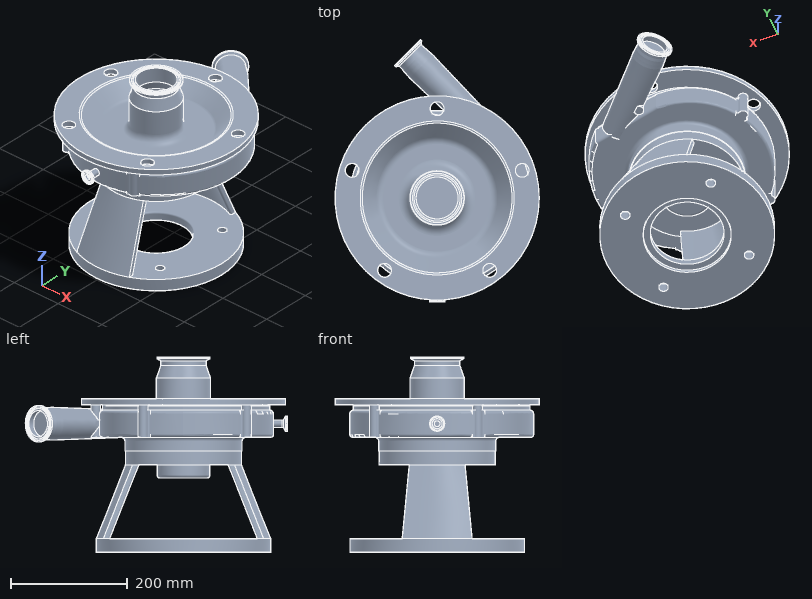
import cadquery as cq
import math


BASE_RADIUS = 150.0
BASE_THICKNESS = 23.5
BASE_BORE_RADIUS = 63.5
BASE_BORE_ROUNDING = 4.0
BASE_RECESS_RADIUS = 75.5
BASE_RECESS_DEPTH = 6.7
BASE_BOLT_COUNT = 4
BASE_BOLT_FIRST_ANGLE = 45
BASE_BOLT_CIRCLE_RADIUS = 113.5
BASE_BOLT_RADIUS = 8.0

COLLAR_RADIUS = 99.5
COLLAR_BOTTOM = 150.0
LEG_THICKNESS = 11.5
LEG_FOOT_HALF_WIDTH = 60.0
LEG_TOP_HALF_WIDTH = 48.0
LEG_EDGE_ROUNDING = 3.0

HUB_RADIUS = 45.5
HUB_BOTTOM = 127.0
HUB_ROUNDING = 5.5

NECK_RADIUS = 100.5
NECK_BOTTOM = 173.5
NECK_FILLET = 6.7
CASING_BOTTOM = 197.0
CASING_TOP = 243.5
CASING_MIDDLE = (CASING_BOTTOM + CASING_TOP) / 2
CASING_TOP_FILLET = 6.7
CASING_BOTTOM_FILLET = 5.0
VOLUTE_START_RADIUS = 143.5
VOLUTE_REACH = 150.0
VOLUTE_MIDDLE_RADIUS = 154.5
VOLUTE_END_RADIUS = 161.0
SEAT_INSET = 6.5
SEAT_TOP = 251.0
GASKET_RADIUS = 139

BOSS_COUNT = 5
BOSS_FIRST_ANGLE = 9
BOSS_CIRCLE_RADIUS = 152.0
BOSS_RADIUS = 8.5
WALL_BOSS_START = 2
BOSS_ROOT_FILLET = 3.5
BOSS_ROOT_RADIUS = 12.5

FLANGE_RADIUS = 175
FLANGE_BOTTOM = 252.5
FLANGE_TOP = 263.5
FLANGE_HOLE_COUNT = 5
FLANGE_HOLE_FIRST_ANGLE = 90
FLANGE_HOLE_CIRCLE_RADIUS = 153.0
FLANGE_HOLE_RADIUS = 11.5
DISH_RADIUS = 128.5
DISH_RIM_WIDTH = 3.5
DISH_RIM_DEPTH = 1.5
DISH_FLOOR = 232.0
DISH_FLOOR_FILLET = 19.0
DISH_CORNER_FILLET = 15.5
DISH_WALL_FOOT_RADIUS = 98.7

INLET_TOP = 334.5
INLET_RADIUS = 46.5
INLET_CONE_BOTTOM = 298.5
INLET_CONE_TOP = 320.5
INLET_MOUTH_RADIUS = 39.0
INLET_RIM_RADIUS = 45.8
INLET_RIM_THICKNESS = 2.5
INLET_RIM_TAPER = 3.5
INLET_BORE_RADIUS = 36
INLET_BORE_DEPTH = 28.3
INLET_CHAMBER_RADIUS = 43.0
INLET_CHAMBER_TAPER = 18
INLET_CHAMBER_DEPTH = 89.8

OUTLET_ANGLE = 135
OUTLET_OFFSET = 140.0
OUTLET_FACE = 212.0
OUTLET_ROOT = 22.5
OUTLET_ROOT_RADIUS = 24.2
OUTLET_PIPE_RADIUS = 28.3
OUTLET_MOUTH_RADIUS = 26.5
OUTLET_RIM_RADIUS = 31.5
OUTLET_RIM_THICKNESS = 3.0
OUTLET_RIM_TAPER = 3.0
OUTLET_MOUTH_LENGTH = 12.5
OUTLET_WELD_LENGTH = 18
OUTLET_WELD_RADIUS = 27.5
OUTLET_SLEEVE_LENGTH = 26.0
OUTLET_SLEEVE_RADIUS = 28.0
OUTLET_CONE_LENGTH = 33.5
OUTLET_BORE_RADIUS = 22.5
OUTLET_BORE_DEPTH = 11.5

DRAIN_TIP = 177.5
DRAIN_ROOT = 134.5
DRAIN_TUBE_RADIUS = 6.7
DRAIN_RIM_RADIUS = 13.0
DRAIN_RIM_THICKNESS = 3.0
DRAIN_RIM_TAPER = 3.5
DRAIN_BORE_RADIUS = 5.0
DRAIN_BORE_DEPTH = 9

GROOVE_GAP = 3.5
GROOVE_WIDTH = 2.5
GROOVE_DEPTH = 1.5


def disc(radius, bottom, top):
    """Upright cylinder on the Z axis."""
    return cq.Workplane("XY").workplane(offset=bottom).circle(radius).extrude(top - bottom)


def turned(profile):
    """Solid of revolution about Z from (radius, height) points."""
    return cq.Workplane("XZ").polyline(profile).close().revolve(360, (0, 0, 0), (0, 1, 0))


def circle_points(count, radius, first_angle):
    """Evenly spaced points on a circle, with angles in degrees."""
    angles = [math.radians(first_angle + 360 / count * i) for i in range(count)]
    return [(radius * math.cos(a), radius * math.sin(a)) for a in angles]


def face_groove(bore_radius, face):
    """Ring to cut from a nozzle face around its bore."""
    inner = bore_radius + GROOVE_GAP
    ring = cq.Workplane("XY").workplane(offset=face).circle(inner + GROOVE_WIDTH).circle(inner)
    return ring.extrude(-GROOVE_DEPTH)


def make_base():
    base = disc(BASE_RADIUS, 0, BASE_THICKNESS).cut(disc(BASE_BORE_RADIUS, 0, BASE_THICKNESS))
    base = base.faces(">Z").edges("%CIRCLE").edges(cq.selectors.RadiusNthSelector(0))
    base = base.fillet(BASE_BORE_ROUNDING)
    base = base.cut(disc(BASE_RECESS_RADIUS, 0, BASE_RECESS_DEPTH))
    bolt_points = circle_points(BASE_BOLT_COUNT, BASE_BOLT_CIRCLE_RADIUS, BASE_BOLT_FIRST_ANGLE)
    bolts = cq.Workplane("XY").pushPoints(bolt_points).circle(BASE_BOLT_RADIUS)
    return base.cut(bolts.extrude(BASE_THICKNESS))


def make_legs():
    """Two opposite strips of a conical shell, wider at the foot."""
    shell = turned([
        (BASE_RADIUS, BASE_THICKNESS),
        (COLLAR_RADIUS, COLLAR_BOTTOM),
        (COLLAR_RADIUS - LEG_THICKNESS, COLLAR_BOTTOM),
        (BASE_RADIUS - LEG_THICKNESS, BASE_THICKNESS),
    ])
    strip = cq.Workplane("XZ").polyline([
        (-LEG_FOOT_HALF_WIDTH, BASE_THICKNESS),
        (LEG_FOOT_HALF_WIDTH, BASE_THICKNESS),
        (LEG_TOP_HALF_WIDTH, COLLAR_BOTTOM),
        (-LEG_TOP_HALF_WIDTH, COLLAR_BOTTOM),
    ]).close().extrude(BASE_RADIUS, both=True)
    legs = shell.intersect(strip)
    middle_height = (BASE_THICKNESS + COLLAR_BOTTOM) / 2
    edge_x = (LEG_FOOT_HALF_WIDTH + LEG_TOP_HALF_WIDTH) / 2
    inner_radius = (BASE_RADIUS + COLLAR_RADIUS) / 2 - LEG_THICKNESS
    edge_y = math.sqrt(inner_radius**2 - edge_x**2)
    for x in (-edge_x, edge_x):
        for y in (-edge_y, edge_y):
            edge = cq.selectors.NearestToPointSelector((x, y, middle_height))
            legs = legs.edges(edge).fillet(LEG_EDGE_ROUNDING)
    return legs


def make_hub():
    hub = disc(HUB_RADIUS, HUB_BOTTOM, COLLAR_BOTTOM)
    return hub.faces("<Z").edges().fillet(HUB_ROUNDING)


def volute_outline(inset):
    """Spiral of tangent arcs that grows from the +Y side, past -X and -Y, to the outlet."""
    start = VOLUTE_START_RADIUS - inset
    middle = VOLUTE_MIDDLE_RADIUS - inset
    end = VOLUTE_END_RADIUS - inset
    left = VOLUTE_REACH - inset
    start_x = start - left
    middle_x = middle - left
    end_y = end - middle
    half = math.sqrt(0.5)
    return (
        cq.Workplane("XY")
        .moveTo(start_x, start)
        .threePointArc((start_x - start * half, start * half), (-left, 0))
        .threePointArc((middle_x - middle * half, -middle * half), (middle_x, -middle))
        .threePointArc((middle_x + end, end_y), (middle_x + end * half, end_y + end * half))
        .close()
    )


def volute_prism(inset, top):
    """Upright block with the spiral outline, standing on the level of the casing bottom."""
    prism = volute_outline(inset).extrude(top - CASING_BOTTOM)
    return prism.translate((0, 0, CASING_BOTTOM))


def upright_pins(points, radius, top):
    """Cylinders that stand on the level of the casing bottom."""
    pins = cq.Workplane("XY").workplane(offset=CASING_BOTTOM).pushPoints(points)
    return pins.circle(radius).extrude(top - CASING_BOTTOM)


def make_bosses():
    """Pillars under the flange, with filleted roots where they meet the casing wall."""
    points = circle_points(BOSS_COUNT, BOSS_CIRCLE_RADIUS, BOSS_FIRST_ANGLE)
    bosses = upright_pins(points, BOSS_RADIUS, FLANGE_BOTTOM)
    wall = volute_prism(0, CASING_TOP).union(upright_pins(points, BOSS_RADIUS, CASING_TOP))
    for x, y in points[WALL_BOSS_START:]:
        near = cq.selectors.BoxSelector(
            (x - BOSS_ROOT_RADIUS, y - BOSS_ROOT_RADIUS, CASING_BOTTOM),
            (x + BOSS_ROOT_RADIUS, y + BOSS_ROOT_RADIUS, CASING_TOP),
        )
        wall = wall.edges("|Z").edges(near).fillet(BOSS_ROOT_FILLET)
    roots = wall.intersect(upright_pins(points[WALL_BOSS_START:], BOSS_ROOT_RADIUS, CASING_TOP))
    return bosses.union(roots)


def make_neck():
    """Round neck below the casing, flared into it by a fillet, with the stand collar beneath."""
    top_radius = NECK_RADIUS + NECK_FILLET
    arc_drop = NECK_FILLET * math.sqrt(0.5)
    neck = (
        cq.Workplane("XZ")
        .moveTo(0, NECK_BOTTOM)
        .lineTo(NECK_RADIUS, NECK_BOTTOM)
        .lineTo(NECK_RADIUS, CASING_BOTTOM - NECK_FILLET)
        .threePointArc(
            (top_radius - arc_drop, CASING_BOTTOM - NECK_FILLET + arc_drop),
            (top_radius, CASING_BOTTOM),
        )
        .lineTo(0, CASING_BOTTOM)
        .close()
        .revolve(360, (0, 0, 0), (0, 1, 0))
    )
    return neck.union(disc(COLLAR_RADIUS, COLLAR_BOTTOM, NECK_BOTTOM))


def make_casing():
    """Rounded volute with the stepped seat under the flange, the neck and the bosses."""
    body = volute_prism(0, CASING_TOP)
    body = body.faces(">Z").edges().fillet(CASING_TOP_FILLET)
    body = body.faces("<Z").edges().fillet(CASING_BOTTOM_FILLET)
    seat = volute_prism(SEAT_INSET, SEAT_TOP)
    gasket = disc(GASKET_RADIUS, CASING_TOP, FLANGE_BOTTOM)
    return body.union(seat).union(gasket).union(make_neck()).union(make_bosses())


def make_flange():
    flange = disc(FLANGE_RADIUS, FLANGE_BOTTOM, FLANGE_TOP)
    hole_points = circle_points(FLANGE_HOLE_COUNT, FLANGE_HOLE_CIRCLE_RADIUS, FLANGE_HOLE_FIRST_ANGLE)
    holes = cq.Workplane("XY").workplane(offset=FLANGE_BOTTOM).pushPoints(hole_points)
    return flange.cut(holes.circle(FLANGE_HOLE_RADIUS).extrude(FLANGE_TOP - FLANGE_BOTTOM))


def make_dish():
    """Conical bowl to cut from the cover, with rounded corners at the wall and at the inlet."""
    bowl = turned([
        (INLET_RADIUS, FLANGE_TOP),
        (DISH_RADIUS + DISH_RIM_WIDTH, FLANGE_TOP),
        (DISH_RADIUS, FLANGE_TOP - DISH_RIM_DEPTH),
        (DISH_WALL_FOOT_RADIUS, DISH_FLOOR),
        (INLET_RADIUS, DISH_FLOOR),
    ])
    floor_edges = bowl.faces("<Z").edges()
    bowl = floor_edges.edges(cq.selectors.RadiusNthSelector(0)).fillet(DISH_FLOOR_FILLET)
    floor_edges = bowl.faces("<Z").edges()
    return floor_edges.edges(cq.selectors.RadiusNthSelector(-1)).fillet(DISH_CORNER_FILLET)


def make_inlet():
    rim_bottom = INLET_TOP - INLET_RIM_THICKNESS
    return turned([
        (0, DISH_FLOOR),
        (INLET_RADIUS, DISH_FLOOR),
        (INLET_RADIUS, INLET_CONE_BOTTOM),
        (INLET_MOUTH_RADIUS, INLET_CONE_TOP),
        (INLET_MOUTH_RADIUS, rim_bottom - INLET_RIM_TAPER),
        (INLET_RIM_RADIUS, rim_bottom),
        (INLET_RIM_RADIUS, INLET_TOP),
        (0, INLET_TOP),
    ])


def make_inlet_bore():
    taper_top = INLET_TOP - INLET_BORE_DEPTH
    floor = INLET_TOP - INLET_CHAMBER_DEPTH
    bore = turned([
        (0, INLET_TOP),
        (INLET_BORE_RADIUS, INLET_TOP),
        (INLET_BORE_RADIUS, taper_top),
        (INLET_CHAMBER_RADIUS, taper_top - INLET_CHAMBER_TAPER),
        (INLET_CHAMBER_RADIUS, floor),
        (0, floor),
    ])
    return bore.union(face_groove(INLET_BORE_RADIUS, INLET_TOP))


def place_outlet(shape):
    """Lay a shape turned about Z along the outlet axis."""
    shape = shape.rotate((0, 0, 0), (0, 1, 0), 90).translate((0, -OUTLET_OFFSET, CASING_MIDDLE))
    return shape.rotate((0, 0, 0), (0, 0, 1), OUTLET_ANGLE)


def make_outlet():
    rim_back = OUTLET_FACE - OUTLET_RIM_THICKNESS
    return place_outlet(turned([
        (0, OUTLET_ROOT),
        (OUTLET_ROOT_RADIUS, OUTLET_ROOT),
        (OUTLET_PIPE_RADIUS, OUTLET_FACE - OUTLET_CONE_LENGTH),
        (OUTLET_SLEEVE_RADIUS, OUTLET_FACE - OUTLET_SLEEVE_LENGTH),
        (OUTLET_WELD_RADIUS, OUTLET_FACE - OUTLET_WELD_LENGTH),
        (OUTLET_MOUTH_RADIUS, OUTLET_FACE - OUTLET_MOUTH_LENGTH),
        (OUTLET_MOUTH_RADIUS, rim_back - OUTLET_RIM_TAPER),
        (OUTLET_RIM_RADIUS, rim_back),
        (OUTLET_RIM_RADIUS, OUTLET_FACE),
        (0, OUTLET_FACE),
    ]))


def make_outlet_bore():
    bore = disc(OUTLET_BORE_RADIUS, OUTLET_FACE - OUTLET_BORE_DEPTH, OUTLET_FACE)
    return place_outlet(bore.union(face_groove(OUTLET_BORE_RADIUS, OUTLET_FACE)))


def make_drain():
    rim_back = DRAIN_TIP - DRAIN_RIM_THICKNESS
    drain = turned([
        (0, DRAIN_ROOT),
        (DRAIN_TUBE_RADIUS, DRAIN_ROOT),
        (DRAIN_TUBE_RADIUS, rim_back - DRAIN_RIM_TAPER),
        (DRAIN_RIM_RADIUS, rim_back),
        (DRAIN_RIM_RADIUS, DRAIN_TIP),
        (0, DRAIN_TIP),
    ])
    drain = drain.cut(disc(DRAIN_BORE_RADIUS, DRAIN_TIP - DRAIN_BORE_DEPTH, DRAIN_TIP))
    drain = drain.cut(face_groove(DRAIN_BORE_RADIUS, DRAIN_TIP))
    return drain.rotate((0, 0, 0), (1, 0, 0), 90).translate((0, 0, CASING_MIDDLE))


result = (
    make_casing()
    .union(make_outlet())
    .union(make_flange())
    .cut(make_dish())
    .union(make_inlet())
    .cut(make_inlet_bore())
    .cut(make_outlet_bore())
    .union(make_drain())
    .union(make_hub())
    .union(make_legs())
    .union(make_base())
)